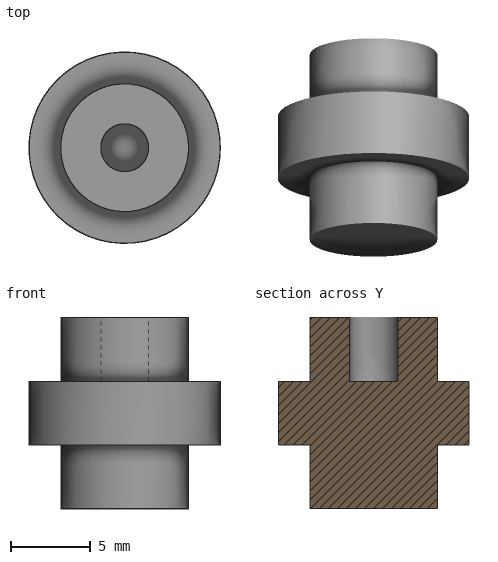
import cadquery as cq

total_height = 12.0
flange_diameter = 12.0
hub_diameter = 8.0
bore_diameter = 3.0

section_height = total_height / 3
bore_depth = section_height

hub = cq.Workplane("XY").cylinder(total_height, hub_diameter / 2)

flange = cq.Workplane("XY").cylinder(section_height, flange_diameter / 2)

bore = (
    cq.Workplane("XY")
    .workplane(offset=total_height / 2)
    .circle(bore_diameter / 2)
    .extrude(-bore_depth)
)

result = hub.union(flange).cut(bore)